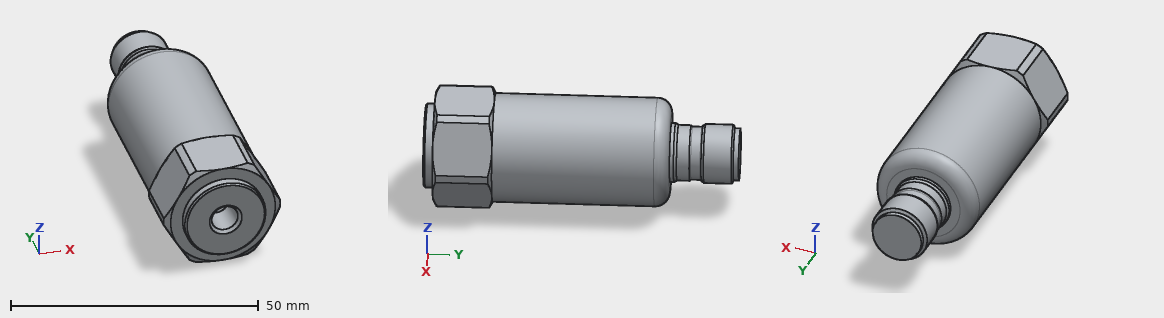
import cadquery as cq
import math


overall_length = 63.55
boss_length = 2.0
hex_length = 12.0
body_end = 49.65

boss_radius = 8.5
boss_chamfer = 0.35

hex_sides = 6
hex_across_flats = 22.0
hex_corner_radius = 12.25
hex_chamfer_angle = 30.0

body_radius = hex_across_flats / 2
body_fillet = 3.0

flange_radius = 6.0
neck_radius = 5.65
groove_depth = 0.25
collar_underside_radius = 5.9
collar_radius = 6.0
tip_radius = 5.3

flange_length = 0.8
flange_taper_length = 0.6
neck_length = 2.55
groove_width = 2.4
collar_underside_length = 0.5
collar_length = 5.6
collar_taper_length = 0.4

hole_radius = 2.75
hole_depth = 7.0
hole_mouth_radius = 3.4
drill_point_angle = 118.0

mounting_face = -overall_length / 2
hex_start = mounting_face + boss_length
hex_end = hex_start + hex_length
body_top = mounting_face + body_end
tip_face = mounting_face + overall_length


def revolve_about_y(profile):
    """Turn a closed half profile in the XY plane around the Y axis."""
    return profile.close().revolve(360, (0, 0, 0), (0, 1, 0))


def corner_mid_offset(radius):
    """Distance from each side of a square corner to the middle of its rounding arc."""
    return radius * (1 - math.cos(math.radians(45)))


def make_boss():
    """Round boss under the hexagon, chamfered at the mounting face."""
    return revolve_about_y(
        cq.Workplane("XY")
        .moveTo(0, mounting_face)
        .lineTo(boss_radius - boss_chamfer, mounting_face)
        .lineTo(boss_radius, mounting_face + boss_chamfer)
        .lineTo(boss_radius, hex_start)
        .lineTo(0, hex_start)
    )


def make_hexagon():
    """Hexagon with flats facing +Z and -Z, its corners turned round and both ends chamfered."""
    across_corners = hex_across_flats / math.cos(math.pi / hex_sides)
    prism = (
        cq.Workplane("XZ", origin=(0, hex_end, 0))
        .polygon(hex_sides, across_corners)
        .extrude(hex_length)
    )
    chamfer_length = (hex_corner_radius - body_radius) * math.tan(math.radians(hex_chamfer_angle))
    turned_blank = revolve_about_y(
        cq.Workplane("XY")
        .moveTo(0, hex_start)
        .lineTo(body_radius, hex_start)
        .lineTo(hex_corner_radius, hex_start + chamfer_length)
        .lineTo(hex_corner_radius, hex_end - chamfer_length)
        .lineTo(body_radius, hex_end)
        .lineTo(0, hex_end)
    )
    return prism.intersect(turned_blank)


def make_body():
    """Cylinder with a rounded shoulder at the connector end."""
    fillet_mid = corner_mid_offset(body_fillet)
    return revolve_about_y(
        cq.Workplane("XY")
        .moveTo(0, hex_end)
        .lineTo(body_radius, hex_end)
        .lineTo(body_radius, body_top - body_fillet)
        .threePointArc(
            (body_radius - fillet_mid, body_top - fillet_mid),
            (body_radius - body_fillet, body_top),
        )
        .lineTo(0, body_top)
    )


def make_connector():
    """Connector stub: flange, neck with a round-cornered groove, collar and tip."""
    flange_top = body_top + flange_length
    neck_start = flange_top + flange_taper_length
    groove_start = neck_start + neck_length
    groove_end = groove_start + groove_width
    collar_start = groove_end + collar_underside_length
    collar_end = collar_start + collar_length
    tip_start = collar_end + collar_taper_length

    groove_radius = neck_radius - groove_depth
    arc_mid = corner_mid_offset(groove_depth)

    return revolve_about_y(
        cq.Workplane("XY")
        .moveTo(0, body_top)
        .lineTo(flange_radius, body_top)
        .lineTo(flange_radius, flange_top)
        .lineTo(neck_radius, neck_start)
        .lineTo(neck_radius, groove_start)
        .threePointArc(
            (groove_radius + arc_mid, groove_start + arc_mid),
            (groove_radius, groove_start + groove_depth),
        )
        .lineTo(groove_radius, groove_end - groove_depth)
        .threePointArc(
            (groove_radius + arc_mid, groove_end - arc_mid),
            (neck_radius, groove_end),
        )
        .lineTo(collar_underside_radius, collar_start)
        .lineTo(collar_radius, collar_start)
        .lineTo(collar_radius, collar_end)
        .lineTo(tip_radius, tip_start)
        .lineTo(tip_radius, tip_face)
        .lineTo(0, tip_face)
    )


def make_mounting_hole():
    """Blind hole with a 45 degree mouth chamfer and a conical drill point."""
    mouth_depth = hole_mouth_radius - hole_radius
    point_length = hole_radius / math.tan(math.radians(drill_point_angle / 2))
    hole_bottom = mounting_face + hole_depth
    return revolve_about_y(
        cq.Workplane("XY")
        .moveTo(0, mounting_face)
        .lineTo(hole_mouth_radius, mounting_face)
        .lineTo(hole_radius, mounting_face + mouth_depth)
        .lineTo(hole_radius, hole_bottom)
        .lineTo(0, hole_bottom + point_length)
    )


result = (
    make_body()
    .union(make_hexagon())
    .union(make_boss())
    .union(make_connector())
    .cut(make_mounting_hole())
)